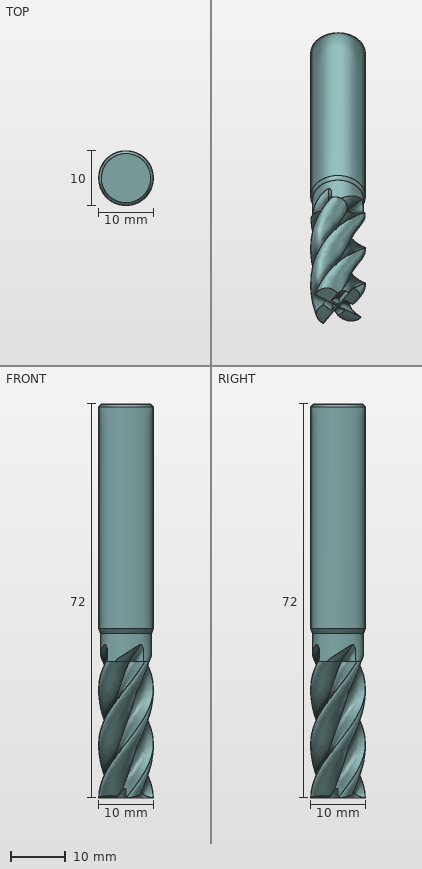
import cadquery as cq
import math

total_length = 72.0
tool_radius = 5.005
cutter_length = 25.0
tooth_count = 4
tooth_pitch = 360.0 / tooth_count

helix_lead = 40.25
first_tooth_angle = -90.0
cutter_twist = 360.0 * cutter_length / helix_lead

margin_angle = 7.5
relief_radius, relief_angle = 4.8, 17.0
heel_radius, heel_angle = 4.25, 30.0
flank_radius, flank_angle = 3.25, 44.0
core_radius, core_angle = 2.4, 60.0
hollow_radius, hollow_angle = 2.7, 78.0
rake_radius, rake_angle = 3.6, 86.0

shank_chamfer = 0.5
neck_radius = 4.7
neck_top = 30.1
shank_bottom = 31.0

runout_height = 3.1
runout_outward = 2.6
runout_swing = 12.0
clear_radius = 10.1

end_relief_width = 3.6
end_relief_rise = 0.65
gash_depth = 1.7
gash_width = 1.7
gash_floor = 0.6
gash_inner_offset = 0.35
overcut = 0.7


def polar(radius, degrees):
    angle = math.radians(degrees)
    return radius * math.cos(angle), radius * math.sin(angle)


def add_tooth_space(path, edge_angle):
    """Continue a path from one cutting edge to the next: margin, back, flute hollow and rake."""
    path = path.threePointArc(
        polar(tool_radius, edge_angle + margin_angle / 2),
        polar(tool_radius, edge_angle + margin_angle),
    )
    back_and_flank = [
        polar(relief_radius, edge_angle + relief_angle),
        polar(heel_radius, edge_angle + heel_angle),
        polar(flank_radius, edge_angle + flank_angle),
        polar(core_radius, edge_angle + core_angle),
    ]
    path = path.spline(back_and_flank, includeCurrent=True)
    path = path.threePointArc(
        polar(hollow_radius, edge_angle + hollow_angle),
        polar(rake_radius, edge_angle + rake_angle),
    )
    return path.lineTo(*polar(tool_radius, edge_angle + tooth_pitch))


def tooth_angles(start):
    return [start + i * tooth_pitch for i in range(tooth_count)]


def end_wedge(profile, inner, edge_angle):
    """Wedge along one cutting edge; its profile is (distance behind the edge, height)."""
    length = tool_radius + overcut - inner
    wedge = cq.Workplane("YZ").workplane(offset=inner).polyline(profile).close().extrude(length)
    return wedge.rotate((0, 0, 0), (0, 0, 1), edge_angle)


def make_cutter():
    """Helical four-flute cutting body with ground end teeth."""
    section = cq.Workplane("XY").moveTo(*polar(tool_radius, first_tooth_angle))
    for angle in tooth_angles(first_tooth_angle):
        section = add_tooth_space(section, angle)
    body = section.close().twistExtrude(cutter_length, cutter_twist)

    relief_profile = [
        (0, 0),
        (end_relief_width, end_relief_rise),
        (end_relief_width, -overcut),
        (0, -overcut),
    ]
    gash_profile = [
        (0, -overcut),
        (0, gash_depth),
        (-gash_floor, gash_depth),
        (-gash_width, 0),
        (-gash_width, -overcut),
    ]
    for angle in tooth_angles(first_tooth_angle):
        body = body.cut(end_wedge(relief_profile, 0, angle))
        body = body.cut(end_wedge(gash_profile, gash_inner_offset, angle))
    return body


def runout_space(edge_angle):
    """Tooth space slanting up and out of the neck, close to the next rake face's direction."""
    next_edge = edge_angle + tooth_pitch
    path = cq.Workplane("XY").workplane(offset=cutter_length)
    path = add_tooth_space(path.moveTo(*polar(tool_radius, edge_angle)), edge_angle)
    path = path.lineTo(*polar(clear_radius, next_edge))
    path = path.threePointArc(
        polar(clear_radius, edge_angle + tooth_pitch / 2), polar(clear_radius, edge_angle)
    )
    outline = path.close().val()
    slant = cq.Vector(*polar(runout_outward, next_edge + runout_swing), runout_height)
    return cq.Workplane(obj=cq.Solid.extrudeLinear(outline, [], slant))


def make_shank():
    """Round shank with a tapered step to the neck, where the flutes run out."""
    half_profile = [
        (0, cutter_length),
        (neck_radius, cutter_length),
        (neck_radius, neck_top),
        (tool_radius, shank_bottom),
        (tool_radius, total_length - shank_chamfer),
        (tool_radius - shank_chamfer, total_length),
        (0, total_length),
    ]
    body = cq.Workplane("XZ").polyline(half_profile).close().revolve(360, (0, 0), (0, 1))
    for angle in tooth_angles(first_tooth_angle + cutter_twist):
        body = body.cut(runout_space(angle))
    return body


cutter = make_cutter()
shank = make_shank()
result = cq.Compound.makeCompound([cutter.val(), shank.val()])